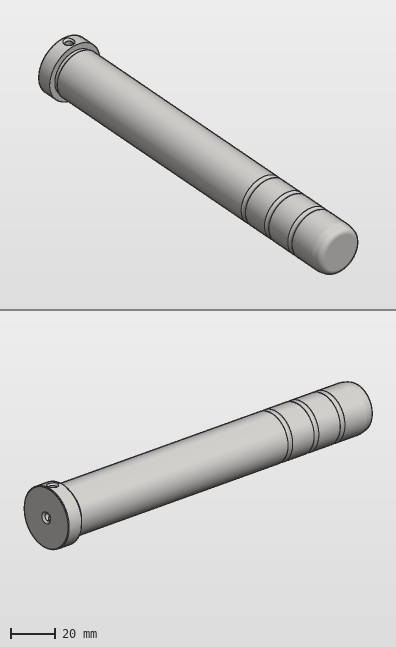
import cadquery as cq

length = 190.0
head_radius = 15.0
head_length = 8.0
head_chamfer = 0.4
shaft_radius = 12.5

neck_radius = 12.0
neck_length = 1.7
neck_ramp = shaft_radius - neck_radius

taper_start = 184.9
round_start = 187.7
taper_end_radius = 12.0
tip_face_radius = 9.3

first_groove_start = 136.5
groove_pitch = 16.0
groove_count = 3
groove_width = 2.8
groove_depth = 0.8

passage_diameter = 3.6
passage_mouth_diameter = 5.7
mouth_depth = (passage_mouth_diameter - passage_diameter) / 2
cross_hole_x = head_length / 2
cross_hole_depth = head_radius + passage_diameter


def pin_body():
    """Revolve the half outline of the pin about the X axis."""
    neck_end = head_length + neck_length
    profile = (
        cq.Workplane("XY")
        .lineTo(0, head_radius - head_chamfer)
        .lineTo(head_chamfer, head_radius)
        .lineTo(head_length, head_radius)
        .lineTo(head_length, neck_radius)
        .lineTo(neck_end, neck_radius)
        .lineTo(neck_end + neck_ramp, shaft_radius)
    )
    for index in range(groove_count):
        start = first_groove_start + index * groove_pitch
        profile = profile.lineTo(start, shaft_radius)
        profile = profile.threePointArc(
            (start + groove_width / 2, shaft_radius - groove_depth),
            (start + groove_width, shaft_radius),
        )
    return (
        profile.lineTo(taper_start, shaft_radius)
        .lineTo(round_start, taper_end_radius)
        .tangentArcPoint((length - round_start, tip_face_radius - taper_end_radius))
        .lineTo(length, 0)
        .close()
        .revolve(360, (0, 0, 0), (1, 0, 0))
    )


def countersunk_hole(mouth, direction, depth):
    """Cutter for a round hole with a conical mouth, starting at a point on the surface."""
    bore = cq.Solid.makeCylinder(passage_diameter / 2, depth, mouth, direction)
    cone = cq.Solid.makeCone(passage_mouth_diameter / 2, passage_diameter / 2, mouth_depth, mouth, direction)
    return bore.fuse(cone)


axial_hole = countersunk_hole(cq.Vector(0, 0, 0), cq.Vector(1, 0, 0), cross_hole_x)
cross_hole_mouth = cq.Vector(cross_hole_x, 0, head_radius)
cross_hole = countersunk_hole(cross_hole_mouth, cq.Vector(0, 0, -1), cross_hole_depth)

result = pin_body().cut(axial_hole).cut(cross_hole)